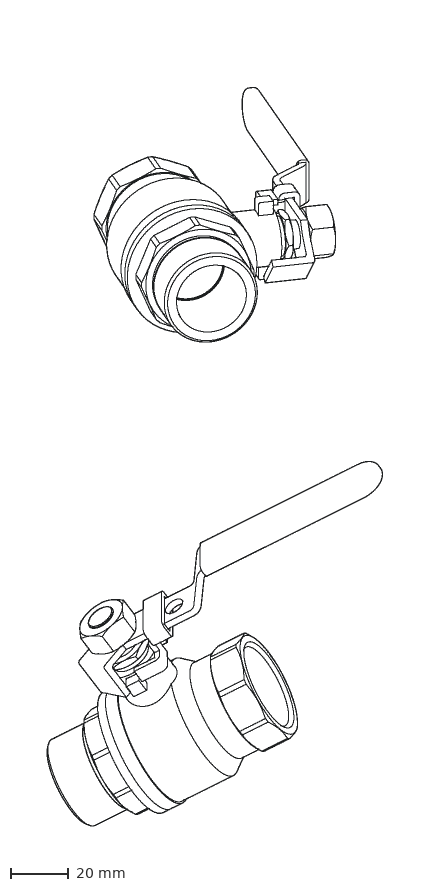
import cadquery as cq
import math

CUT = 96.9
FULL_ROUND_GAP = 0.02

INLET_X = -34.2
INLET_OCTAGON_END = -22.1
CONE_START = -13.5
CONE_END = -8.0
FLANGE_START = 13.0
SPLIT_X = 17.8
FLANGE_END = 21.0
CAP_OCTAGON_END = 29.2
SPIGOT_START = 31.2
OUTLET_X = 46.2
SPIGOT_CHAMFER = 1.0

FLANGE_D = 46.5
BARREL_D = 45.2
NECK_D = 37.0
RELIEF_D = 33.0
SPIGOT_D = 33.5

OCTAGON_ACROSS_FLATS = 38.0
OCTAGON_CORNER_D = 40.4
OCTAGON_END_D = 37.8
OCTAGON_CHAMFER = 0.8

THREAD_D = 30.4
THREAD_MOUTH_D = 33.0
THREAD_MOUTH_DEPTH = 1.3
THREAD_DEPTH = 14.5
PASSAGE_D = 25.0

BALL_D = 42.3
BALL_BORE_D = 24.0

TOWER_D = 20.0
TOWER_TOP = 35.2
STOP_WIDTH = 5.2
STOP_BOTTOM = 28.9
STOP_TOP = 34.2
STOP_REACH = 14.5
STOP_EDGE_R = 0.8

STEM_D = 10.0
STEM_BOTTOM = 16.2
STEM_TOP = 55.5
STEM_CHAMFER = 0.3

GLAND_COLLAR_D = 14.0
GLAND_COLLAR_HEIGHT = 2.1
GLAND_HEX_HEIGHT = 2.7
GLAND_HEX_CORNER_D = 18.2

NUT_CORNER_D = 20.0
NUT_HEIGHT = 9.0

LEVER_T = 2.6
LEVER_WIDTH = 14.5
LEVER_BOTTOM = 43.3
LEVER_TOP = LEVER_BOTTOM + LEVER_T
LEVER_RISE = 13.0
LEVER_SLOPE = 53.5
LOWER_BEND_X = -32.6
BEND_INNER_R = 3.2
LOCK_HOLE_D = 7.0
LOCK_HOLE_X = -24.0
HEAD_REACH = 15.0
HEAD_END_OFFSET = 4.7
HEAD_CORNER_X = 5.0
HEAD_KINK_X = 7.6
TAB_BOTTOM = 30.7
TAB_OUTER_R = 1.0
TAB_INNER_R = 1.0

GRIP_T = 4.5
GRIP_WIDTH = 16.5
GRIP_TIP_X = -115.3
GRIP_END_X = -43.3
GRIP_EDGE_R = 1.6

SLIDE_T = 2.1
LOOP_START = -20.3
LOOP_END = -13.0
LOOP_HALF_WIDTH = 10.2
LOOP_INNER_BOTTOM = 42.6
LOOP_INNER_TOP = 46.0
LOOP_BOTTOM = LOOP_INNER_BOTTOM - SLIDE_T
SLIDE_BEND_R = 2.1
TONGUE_WIDTH = 15.5
FORK_BOTTOM = 32.1
FORK_TOP = 37.3
FORK_HALF_WIDTH = 12.8
FORK_SLOT = 5.5


def box(x0, x1, y0, y1, z0, z1):
    """Box between opposite corners."""
    return cq.Workplane("XY").box(x1 - x0, y1 - y0, z1 - z0, centered=False).translate((x0, y0, z0))


def turned(points):
    """Solid of revolution about X from (x, radius) points."""
    return cq.Workplane("XY").polyline(points).close().revolve(360, (0, 0, 0), (1, 0, 0))


def x_cylinder(diameter, x0, x1):
    """Cylinder on the flow axis."""
    return cq.Workplane("YZ").workplane(offset=x0).circle(diameter / 2).extrude(x1 - x0)


def y_cylinder(diameter, y0, y1):
    """Cylinder on the stem axis."""
    return cq.Workplane("XZ").workplane(offset=-y0).circle(diameter / 2).extrude(y0 - y1)


def octagon(x0, x1):
    """Wrench octagon with corners along Y and Z, its corners turned down to a cylinder."""
    corner_to_corner = OCTAGON_ACROSS_FLATS / math.cos(math.pi / 8)
    prism = cq.Workplane("YZ").workplane(offset=x0).polygon(8, corner_to_corner).extrude(x1 - x0)
    return prism.intersect(x_cylinder(OCTAGON_CORNER_D, x0, x1))


def octagon_end(face_x, inward):
    """Cone that trims an octagon ending at face_x; inward is the X direction into the octagon."""
    end_r = OCTAGON_END_D / 2
    slope = (OCTAGON_CORNER_D / 2 - end_r) / OCTAGON_CHAMFER
    return turned([
        (face_x, 0),
        (face_x, end_r),
        (face_x + inward * CUT, end_r + slope * CUT),
        (face_x + inward * CUT, 0),
    ])


def hexagon(corner_d, y0, y1, turn):
    """Hexagon nut blank on the stem axis with 30 degree chamfers at both ends."""
    corner_r = corner_d / 2
    flat_r = corner_r * math.cos(math.pi / 6)
    chamfer = (corner_r - flat_r) * math.tan(math.pi / 6)
    prism = cq.Workplane("XZ").workplane(offset=-y0).polygon(6, corner_d).extrude(y0 - y1)
    blank = (
        cq.Workplane("XY")
        .polyline([
            (0, y0),
            (flat_r, y0),
            (corner_r, y0 + chamfer),
            (corner_r, y1 - chamfer),
            (flat_r, y1),
            (0, y1),
        ])
        .close()
        .revolve(360, (0, 0, 0), (0, 1, 0))
    )
    return prism.rotate((0, 0, 0), (0, 1, 0), turn).intersect(blank)


def make_body():
    """Threaded inlet, barrel, flange half and stem tower."""
    shell = turned([
        (INLET_OCTAGON_END, 0),
        (INLET_OCTAGON_END, NECK_D / 2),
        (CONE_START, NECK_D / 2),
        (CONE_END, BARREL_D / 2),
        (FLANGE_START, BARREL_D / 2),
        (FLANGE_START, FLANGE_D / 2),
        (SPLIT_X, FLANGE_D / 2),
        (SPLIT_X, 0),
    ])
    inlet_octagon = octagon(INLET_X, INLET_OCTAGON_END)
    inlet_octagon = inlet_octagon.intersect(octagon_end(INLET_X, 1))
    inlet_octagon = inlet_octagon.intersect(octagon_end(INLET_OCTAGON_END, -1))
    shell = shell.union(inlet_octagon)
    shell = shell.union(y_cylinder(TOWER_D, 0, TOWER_TOP))
    stops = box(-STOP_WIDTH / 2, STOP_WIDTH / 2, STOP_BOTTOM, STOP_TOP, -STOP_REACH, STOP_REACH)
    shell = shell.union(stops.faces("<Y").edges("|X").fillet(STOP_EDGE_R))
    mouth = turned([
        (INLET_X, 0),
        (INLET_X, THREAD_MOUTH_D / 2),
        (INLET_X + THREAD_MOUTH_DEPTH, THREAD_D / 2),
        (INLET_X + THREAD_DEPTH, THREAD_D / 2),
        (INLET_X + THREAD_DEPTH, 0),
    ])
    return (
        shell.cut(mouth)
        .cut(x_cylinder(PASSAGE_D, INLET_X, SPLIT_X))
        .cut(cq.Workplane("XY").sphere(BALL_D / 2))
        .cut(y_cylinder(STEM_D, 0, TOWER_TOP))
    )


def make_end_cap():
    """Flange half, octagon and outlet spigot."""
    spigot_r = SPIGOT_D / 2
    cap = turned([
        (SPLIT_X, 0),
        (SPLIT_X, FLANGE_D / 2),
        (FLANGE_END, FLANGE_D / 2),
        (FLANGE_END, RELIEF_D / 2),
        (SPIGOT_START, RELIEF_D / 2),
        (SPIGOT_START, spigot_r),
        (OUTLET_X - SPIGOT_CHAMFER, spigot_r),
        (OUTLET_X, spigot_r - SPIGOT_CHAMFER),
        (OUTLET_X, 0),
    ])
    cap_octagon = octagon(FLANGE_END, CAP_OCTAGON_END).intersect(octagon_end(CAP_OCTAGON_END, -1))
    return cap.union(cap_octagon).cut(x_cylinder(PASSAGE_D, SPLIT_X, OUTLET_X))


def make_stem():
    """Plain stem whose lower end sits in the ball."""
    return y_cylinder(STEM_D, STEM_BOTTOM, STEM_TOP).faces(">Y").chamfer(STEM_CHAMFER)


def make_ball(stem):
    """Bored ball with a socket for the stem."""
    ball = cq.Workplane("XY").sphere(BALL_D / 2)
    return ball.cut(x_cylinder(BALL_BORE_D, -BALL_D, BALL_D)).cut(stem)


def make_gland_nut(stem):
    """Collar on the tower top with a thin hexagon above it."""
    hex_bottom = TOWER_TOP + GLAND_COLLAR_HEIGHT
    collar = y_cylinder(GLAND_COLLAR_D, TOWER_TOP, hex_bottom)
    nut = hexagon(GLAND_HEX_CORNER_D, hex_bottom, hex_bottom + GLAND_HEX_HEIGHT, 0)
    return collar.union(nut).cut(stem)


def make_lever_nut(stem):
    """Hexagon nut that clamps the lever, with corners along Z."""
    return hexagon(NUT_CORNER_D, LEVER_TOP, LEVER_TOP + NUT_HEIGHT, 90).cut(stem)


def make_lever_strip():
    """Cranked strip from the rounded handle end to the head."""
    half_t = LEVER_T / 2
    low_y = LEVER_BOTTOM + half_t
    high_y = low_y + LEVER_RISE
    upper_bend_x = LOWER_BEND_X - LEVER_RISE / math.tan(math.radians(LEVER_SLOPE))
    miter = half_t * math.tan(math.radians(LEVER_SLOPE / 2))
    tip_x = GRIP_TIP_X + (GRIP_WIDTH - LEVER_WIDTH) / 2
    head_x = -LEVER_WIDTH / 2
    strip = (
        cq.Workplane("XY")
        .workplane(offset=-LEVER_WIDTH / 2)
        .polyline([
            (tip_x, high_y - half_t),
            (upper_bend_x - miter, high_y - half_t),
            (LOWER_BEND_X - miter, low_y - half_t),
            (head_x, low_y - half_t),
            (head_x, low_y + half_t),
            (LOWER_BEND_X + miter, low_y + half_t),
            (upper_bend_x + miter, high_y + half_t),
            (tip_x, high_y + half_t),
        ])
        .close()
        .extrude(LEVER_WIDTH)
    )
    for bend_x, bend_y, side in ((upper_bend_x, high_y, 1), (LOWER_BEND_X, low_y, -1)):
        outer_edge = (bend_x + side * miter, bend_y + side * half_t, 0)
        inner_edge = (bend_x - side * miter, bend_y - side * half_t, 0)
        strip = strip.edges(cq.selectors.NearestToPointSelector(outer_edge)).fillet(BEND_INNER_R + LEVER_T)
        strip = strip.edges(cq.selectors.NearestToPointSelector(inner_edge)).fillet(BEND_INNER_R)
    return strip.edges("|Y and <X").fillet(LEVER_WIDTH / 2 - FULL_ROUND_GAP)


def make_lever_head():
    """Plate around the stem with a stop tab bent down along its diagonal edge."""
    half_w = LEVER_WIDTH / 2
    end_a = (HEAD_REACH, -HEAD_END_OFFSET)
    end_b = (HEAD_END_OFFSET, -HEAD_REACH)
    tab_step = LEVER_T / math.sqrt(2)

    def plan(points, y0, y1):
        """Plate with an (x, z) outline between two heights."""
        return cq.Workplane("XZ").workplane(offset=-y0).polyline(points).close().extrude(y0 - y1)

    plate = plan(
        [
            (-half_w, half_w),
            (HEAD_CORNER_X, half_w),
            (HEAD_KINK_X, HEAD_REACH - HEAD_END_OFFSET - HEAD_KINK_X),
            end_a,
            end_b,
            (end_b[0] - HEAD_REACH + half_w, -half_w),
            (-half_w, -half_w),
        ],
        LEVER_BOTTOM,
        LEVER_TOP,
    )
    tab = plan(
        [end_a, end_b, (end_b[0] - tab_step, end_b[1] + tab_step), (end_a[0] - tab_step, end_a[1] + tab_step)],
        TAB_BOTTOM,
        LEVER_TOP,
    )
    head = plate.union(tab)
    mid = (HEAD_REACH + HEAD_END_OFFSET) / 2
    outer_edge = (mid, LEVER_TOP, -mid)
    inner_edge = (mid - tab_step, LEVER_BOTTOM, tab_step - mid)
    head = head.edges(cq.selectors.NearestToPointSelector(outer_edge)).fillet(TAB_OUTER_R)
    return head.edges(cq.selectors.NearestToPointSelector(inner_edge)).fillet(TAB_INNER_R)


def make_lever(stem):
    """Strip and head with the stem hole and the padlock hole."""
    lock_hole = y_cylinder(LOCK_HOLE_D, 0, CUT).translate((LOCK_HOLE_X, 0, 0))
    return make_lever_strip().union(make_lever_head()).cut(lock_hole).cut(stem)


def make_grip(lever):
    """Sleeve with a round tip and rounded edges over the handle end of the lever."""
    mid_y = LEVER_BOTTOM + LEVER_T / 2 + LEVER_RISE
    half_w = GRIP_WIDTH / 2
    sleeve = (
        cq.Workplane("XZ")
        .workplane(offset=-(mid_y - GRIP_T / 2))
        .moveTo(GRIP_END_X, half_w)
        .lineTo(GRIP_TIP_X + half_w, half_w)
        .threePointArc((GRIP_TIP_X, 0), (GRIP_TIP_X + half_w, -half_w))
        .lineTo(GRIP_END_X, -half_w)
        .close()
        .extrude(-GRIP_T)
    )
    sleeve = sleeve.faces("<Y or >Y").edges("not >X").fillet(GRIP_EDGE_R)
    return sleeve.cut(lever)


def make_lock_slide():
    """Loop around the lever with a forked tongue whose arms meet the stops."""
    wall_end = LOOP_END + SLIDE_T
    loop_top = LOOP_INNER_TOP + SLIDE_T
    loop = box(LOOP_START, LOOP_END, LOOP_BOTTOM, loop_top, -LOOP_HALF_WIDTH, LOOP_HALF_WIDTH)
    loop = loop.edges("|X").fillet(SLIDE_BEND_R)
    inner_half = LOOP_HALF_WIDTH - SLIDE_T
    loop = loop.cut(box(LOOP_START, LOOP_END, LOOP_INNER_BOTTOM, LOOP_INNER_TOP, -inner_half, inner_half))

    half_tongue = TONGUE_WIDTH / 2
    tongue = box(LOOP_END, wall_end, FORK_BOTTOM, LOOP_INNER_BOTTOM, -half_tongue, half_tongue)
    tongue = tongue.edges(">X and >Y").fillet(SLIDE_BEND_R - FULL_ROUND_GAP)

    fork = box(LOOP_END, -STOP_WIDTH / 2, FORK_BOTTOM, FORK_TOP, -FORK_HALF_WIDTH, FORK_HALF_WIDTH)
    fork = fork.edges("|Y and <X").fillet(SLIDE_BEND_R)
    arm_gap = FORK_HALF_WIDTH - SLIDE_T
    fork = fork.cut(box(wall_end, CUT, FORK_BOTTOM, FORK_TOP, -arm_gap, arm_gap))

    slot = box(LOOP_END, wall_end, FORK_BOTTOM, LOOP_BOTTOM, -FORK_SLOT / 2, FORK_SLOT / 2)
    return loop.union(tongue.union(fork).cut(slot))


stem = make_stem()
body = make_body()
end_cap = make_end_cap()
ball = make_ball(stem)
gland_nut = make_gland_nut(stem)
lever_nut = make_lever_nut(stem)
lever = make_lever(stem)
grip = make_grip(lever)
lock_slide = make_lock_slide()

result = cq.Compound.makeCompound([
    body.val(),
    end_cap.val(),
    ball.val(),
    stem.val(),
    gland_nut.val(),
    lever_nut.val(),
    lever.val(),
    grip.val(),
    lock_slide.val(),
])